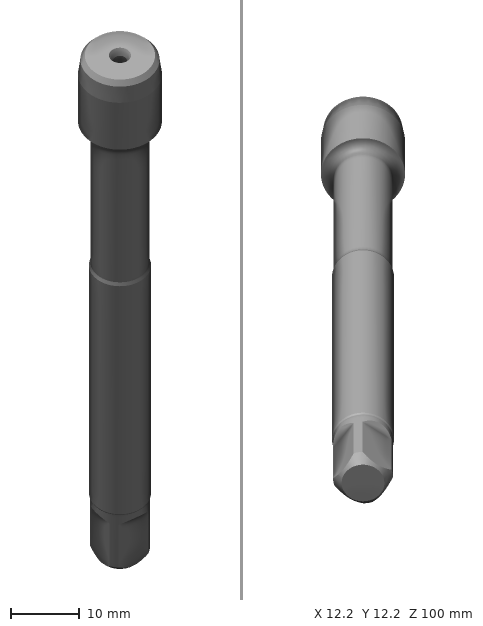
import cadquery as cq
import math

length = 100.0

head_diameter = 12.2
lead_diameter = 11.5
top_face_diameter = 10.2
rim_height = 0.8
lead_bottom_z = length - 3.7
head_bottom_z = length - 13.1

neck_fillet = 1.5

neck_diameter = 8.6
neck_bottom_z = 58.6
shank_diameter = 9.0
shank_top_z = 58.0
shank_bottom_z = 12.3

drive_diameter = 8.7
drive_top_z = 12.0
tip_diameter = 6.2
tip_height = 1.5
across_flats = 7.0
flats_top_z = 10.0
shoulder_angle = 45.0

countersink_diameter = 3.2
countersink_angle = 60.0
bore_diameter = 2.0
bore_depth = 3.0
drill_point_angle = 118.0


def turned_body():
    neck_radius = neck_diameter / 2
    fillet_center_x = neck_radius + neck_fillet
    fillet_center_z = head_bottom_z - neck_fillet
    fillet_middle = (
        fillet_center_x - neck_fillet * math.cos(math.radians(45)),
        fillet_center_z + neck_fillet * math.sin(math.radians(45)),
    )
    return (
        cq.Workplane("XZ")
        .lineTo(tip_diameter / 2, 0)
        .lineTo(drive_diameter / 2, tip_height)
        .lineTo(drive_diameter / 2, drive_top_z)
        .lineTo(shank_diameter / 2, shank_bottom_z)
        .lineTo(shank_diameter / 2, shank_top_z)
        .lineTo(neck_radius, neck_bottom_z)
        .lineTo(neck_radius, fillet_center_z)
        .threePointArc(fillet_middle, (fillet_center_x, head_bottom_z))
        .lineTo(head_diameter / 2, head_bottom_z)
        .lineTo(head_diameter / 2, lead_bottom_z)
        .lineTo(lead_diameter / 2, length - rim_height)
        .lineTo(top_face_diameter / 2, length)
        .lineTo(0, length)
        .close()
        .revolve(360, (0, 0), (0, 1))
    )


def flat_cutter():
    """Material outside the +X flat, ending upward in a sloped shoulder."""
    flat_x = across_flats / 2
    outer_x = shank_diameter
    shoulder_rise = (outer_x - flat_x) * math.tan(math.radians(shoulder_angle))
    outline = [
        (flat_x, 0),
        (flat_x, flats_top_z),
        (outer_x, flats_top_z + shoulder_rise),
        (outer_x, 0),
    ]
    return cq.Workplane("XZ").polyline(outline).close().extrude(shank_diameter, both=True)


def centre_hole():
    countersink_depth = (
        (countersink_diameter - bore_diameter) / 2 / math.tan(math.radians(countersink_angle / 2))
    )
    point_depth = bore_diameter / 2 / math.tan(math.radians(drill_point_angle / 2))
    outline = [
        (0, length - bore_depth - point_depth),
        (bore_diameter / 2, length - bore_depth),
        (bore_diameter / 2, length - countersink_depth),
        (countersink_diameter / 2, length),
        (0, length),
    ]
    return cq.Workplane("XZ").polyline(outline).close().revolve(360, (0, 0), (0, 1))


result = turned_body().cut(centre_hole())
for angle in (0, 90, 180, 270):
    result = result.cut(flat_cutter().rotate((0, 0, 0), (0, 0, 1), angle))